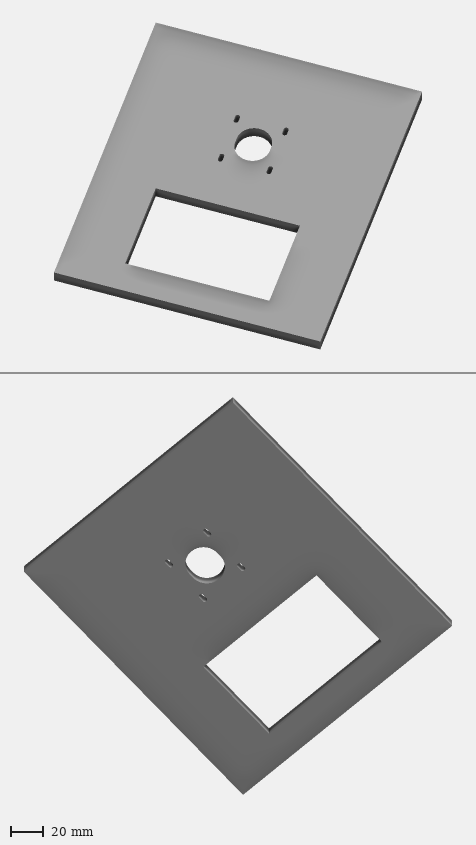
import cadquery as cq

plate_width = 170.0
plate_length = 200.0
plate_thickness = 8.0

window_width = 92.0
window_length = 60.0
window_edge_margin = 20.0
window_center_y = -plate_length / 2 + window_edge_margin + window_length / 2

mount_center_y = 30.0
adjustment_travel = 3.0
shaft_opening_width = 22.0
screw_slot_width = 3.0
screw_spacing = 31.0


def cut_slots(body, centers, width):
    """Cut through slots elongated along Y at the given centres."""
    slot_length = width + adjustment_travel
    return (
        body.faces(">Z")
        .workplane(origin=(0, 0, 0))
        .pushPoints(centers)
        .slot2D(slot_length, width, 90)
        .cutThruAll()
    )


plate = cq.Workplane("XY").box(plate_width, plate_length, plate_thickness)

plate = (
    plate.faces(">Z")
    .workplane(origin=(0, 0, 0))
    .center(0, window_center_y)
    .rect(window_width, window_length)
    .cutThruAll()
)

plate = cut_slots(plate, [(0, mount_center_y)], shaft_opening_width)
screw_centers = [
    (side_x * screw_spacing / 2, mount_center_y + side_y * screw_spacing / 2)
    for side_x in (-1, 1)
    for side_y in (-1, 1)
]
result = cut_slots(plate, screw_centers, screw_slot_width)